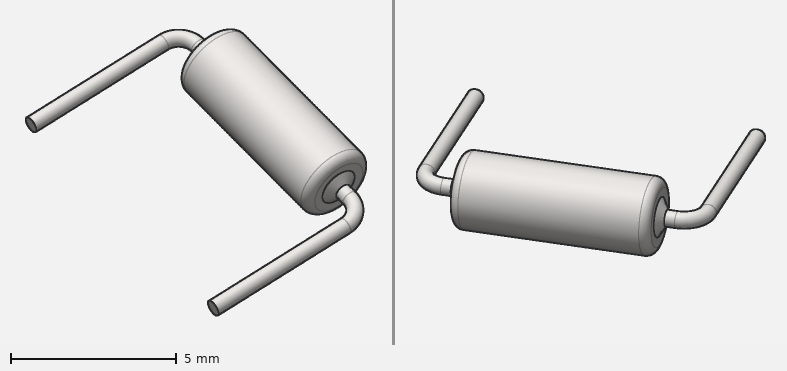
import cadquery as cq

overall_length = 9.4
body_length = 6.3
body_radius = 1.22
body_edge_radius = 0.3
cone_length = 0.22
cone_base_radius = 0.62
lead_diameter = 0.53
lead_bend_radius = 0.75
lead_reach = 5.82

lead_radius = lead_diameter / 2
body_half = body_length / 2
cone_tip_x = body_half + cone_length
lead_x = overall_length / 2 - lead_radius
bend_start_x = lead_x - lead_bend_radius


def make_body():
    """Cylinder with rounded end edges, centred on the origin."""
    end_plane = cq.Workplane("YZ", origin=(-body_half, 0, 0))
    cylinder = end_plane.circle(body_radius).extrude(body_length)
    return cylinder.faces("<X or >X").edges().fillet(body_edge_radius)


def make_end_cones():
    """Cones tapering from both end faces to the leads, revolved about X."""
    profile = (
        cq.Workplane("XY")
        .moveTo(-body_half, 0)
        .lineTo(-body_half, cone_base_radius)
        .lineTo(-cone_tip_x, lead_radius)
        .lineTo(-cone_tip_x, 0)
        .close()
    )
    cone = profile.revolve(360, (0, 0, 0), (1, 0, 0))
    return cone.union(cone.mirror("YZ"))


def make_leads():
    """One wire through the body, turned through 90 degrees at each end."""
    path = (
        cq.Workplane("XY")
        .moveTo(-lead_x, -lead_reach)
        .lineTo(-lead_x, -lead_bend_radius)
        .radiusArc((-bend_start_x, 0), lead_bend_radius)
        .lineTo(bend_start_x, 0)
        .radiusArc((lead_x, -lead_bend_radius), lead_bend_radius)
        .lineTo(lead_x, -lead_reach)
    )
    section = cq.Workplane("XZ", origin=(-lead_x, -lead_reach, 0)).circle(lead_radius)
    return section.sweep(path)


result = make_body().union(make_end_cones()).union(make_leads())